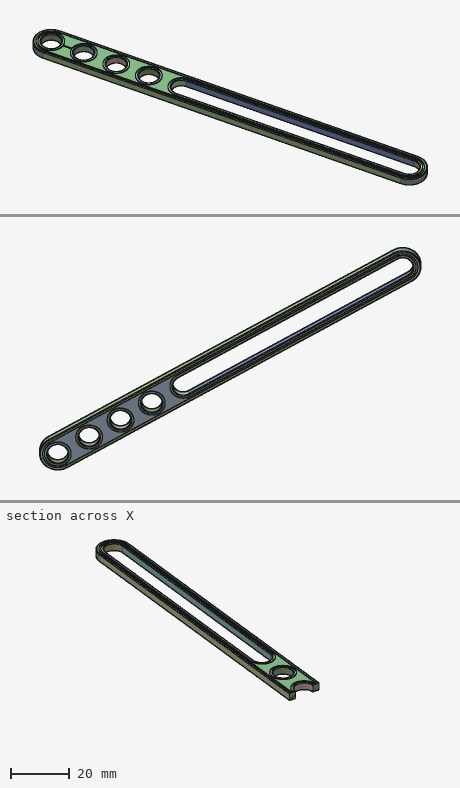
import cadquery as cq

length = 150.0
width = 12.5
thickness = 3.2

pitches_per_length = 12
pitch = length / pitches_per_length
hole_count = 4
bore = 7.0

opening_rim_diameter = 9.2
outer_rim = 1.0
recess_depth = 0.22
edge_chamfer = 0.3

rib_width = 0.3
rib_height = 0.2

first_hole_x = (width - length) / 2
slot_start_x = first_hole_x + hole_count * pitch
slot_end_x = -first_hole_x
hole_xs = [first_hole_x + i * pitch for i in range(hole_count)]


def stadium(start_x, end_x, diameter, bottom, height):
    """Round-ended bar along X between two end centres."""
    return (
        cq.Workplane("XY", origin=((start_x + end_x) / 2, 0, bottom))
        .slot2D(end_x - start_x + diameter, diameter)
        .extrude(height)
    )


def openings(diameter, bottom, height):
    """Four round holes and the slot, all of one width."""
    shape = stadium(slot_start_x, slot_end_x, diameter, bottom, height)
    holes = (
        cq.Workplane("XY", origin=(0, 0, bottom))
        .pushPoints([(x, 0) for x in hole_xs])
        .circle(diameter / 2)
        .extrude(height)
    )
    return shape.union(holes)


def recess(bottom):
    """Shallow floor between the outer rim and the opening rims."""
    floor = stadium(first_hole_x, slot_end_x, width - 2 * outer_rim, bottom, recess_depth)
    return floor.cut(openings(opening_rim_diameter, bottom, recess_depth))


def rib():
    """Low rib between the first two hole centres, kept only where it crosses the floor."""
    return (
        cq.Workplane("XY", origin=((hole_xs[0] + hole_xs[1]) / 2, 0, thickness - recess_depth))
        .rect(pitch, rib_width)
        .extrude(rib_height)
    )


bar = stadium(first_hole_x, slot_end_x, width, 0, thickness)
bar = bar.cut(openings(bore, 0, thickness))
bar = bar.faces("<Z or >Z").edges().chamfer(edge_chamfer)
bar = bar.cut(recess(0))
result = bar.cut(recess(thickness - recess_depth).cut(rib()))